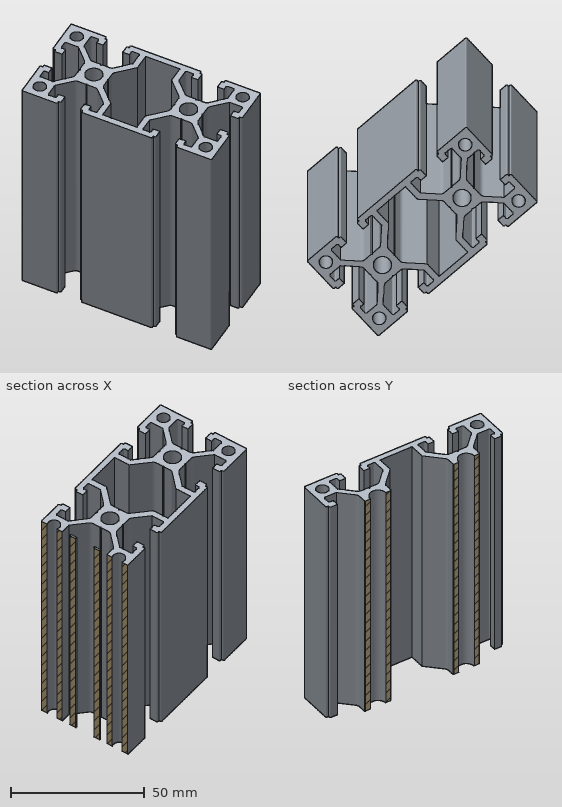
import cadquery as cq

cell = 40.0
length = 100.0
cell_count = 2
width = cell * cell_count
half_cell = cell / 2

slot_opening = 8.2
step_opening = 10.2
step_depth = 1.1
lip_depth = 4.5
lip_gap = 13.8
face_wall = 2.5
cavity_width = 20.6
cavity_wall_depth = 8.1
cavity_round = 0.5

core_half = 6.0
core_round = 2.0
groove_half_width = 0.3
groove_depth = 0.3
core_bore = 6.8

corner_bore = 5.0
corner_bore_inset = 5.0

chamber_width = 14.4
chamber_wall = 2.5
chamber_turn_depth = 9.2

outer_round = 0.4
overcut = 1.0
cell_centres = [(i - (cell_count - 1) / 2) * cell for i in range(cell_count)]


def mirrored(half_outline):
    """Close an outline by mirroring its +X half about the Y axis."""
    return half_outline + [(-x, y) for x, y in reversed(half_outline)]


def prism(points):
    return cq.Workplane("XY").polyline(points).close().extrude(length)


def round_edges(body, points, radius):
    """Round the upright edges through the given points and their mirror images about the Y axis."""
    for x, y in mirrored(points):
        edge = cq.selectors.NearestToPointSelector((x, y, length / 2))
        body = body.edges("|Z").edges(edge).fillet(radius)
    return body


def make_slot():
    """Void of one T-slot opening towards +Y of a cell centred on the origin."""
    cavity_half = cavity_width / 2
    turn_y = half_cell - cavity_wall_depth
    ceiling_y = half_cell - face_wall
    step_y = half_cell - step_depth
    lip_y = half_cell - lip_depth
    rib_foot = (cavity_half - (turn_y - core_half), core_half)
    ceiling_outer = (cavity_half, ceiling_y)
    ceiling_inner = (lip_gap / 2, ceiling_y)
    lip_step = (slot_opening / 2, step_y)
    outline = [
        (groove_half_width, core_half),
        rib_foot,
        (cavity_half, turn_y),
        ceiling_outer,
        ceiling_inner,
        (lip_gap / 2, lip_y),
        (slot_opening / 2, lip_y),
        lip_step,
        (step_opening / 2, step_y),
        (step_opening / 2, half_cell + overcut),
    ]
    groove_bottom = (0, core_half - groove_depth)
    slot = prism([groove_bottom] + mirrored(outline))
    slot = round_edges(slot, [rib_foot], core_round)
    slot = round_edges(slot, [lip_step], outer_round)
    return round_edges(slot, [ceiling_outer, ceiling_inner], cavity_round)


def make_chamber():
    """Void between the cells, reaching from one core to the other."""
    half_width = chamber_width / 2
    end_x = half_cell - core_half
    top_y = half_cell - chamber_wall
    turn_y = half_cell - chamber_turn_depth
    end_y = turn_y - (end_x - half_width)
    quarter = [
        (end_x + groove_depth, 0),
        (end_x, groove_half_width),
        (end_x, end_y),
        (half_width, turn_y),
        (half_width, top_y),
    ]
    upper = mirrored(quarter)
    lower = [(x, -y) for x, y in reversed(upper[1:-1])]
    chamber = prism(upper + lower)
    for y in (end_y, -end_y):
        chamber = round_edges(chamber, [(end_x, y)], core_round)
    return chamber


profile = cq.Workplane("XY").rect(width, cell).extrude(length)

slot = make_slot()
side_slots = [(centre_x, angle) for centre_x in cell_centres for angle in (0, 180)]
end_slots = [(cell_centres[0], 90), (cell_centres[-1], -90)]
for centre_x, angle in side_slots + end_slots:
    profile = profile.cut(slot.rotate((0, 0, 0), (0, 0, 1), angle).translate((centre_x, 0, 0)))

profile = profile.cut(make_chamber())

core_points = [(x, 0) for x in cell_centres]
profile = profile.cut(cq.Workplane("XY").pushPoints(core_points).circle(core_bore / 2).extrude(length))

corner_bores = (
    cq.Workplane("XY")
    .rect(width - 2 * corner_bore_inset, cell - 2 * corner_bore_inset, forConstruction=True)
    .vertices()
    .circle(corner_bore / 2)
    .extrude(length)
)
profile = profile.cut(corner_bores)

half_width = width / 2
mouth_half = step_opening / 2
long_face_x = [c + side * mouth_half for c in cell_centres for side in (-1, 1)]
outer_edges = [(x, y) for x in long_face_x + [-half_width, half_width] for y in (-half_cell, half_cell)]
outer_edges += [(x, y) for x in (-half_width, half_width) for y in (-mouth_half, mouth_half)]
for x, y in outer_edges:
    edge = cq.selectors.NearestToPointSelector((x, y, length / 2))
    profile = profile.edges("|Z").edges(edge).fillet(outer_round)

result = profile